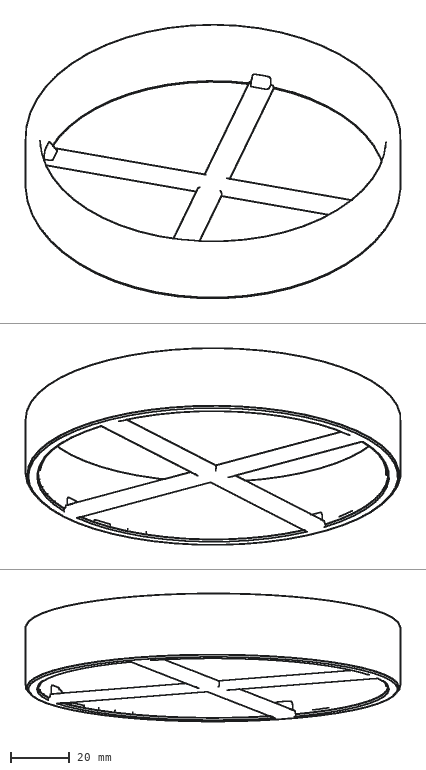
import cadquery as cq

outer_radius = 64.0
inner_radius = 59.0
height = 22.0
top_edge_round = 1.2
bottom_edge_round = 0.6
foot_height = 0.8
foot_inset = 0.6
foot_taper = 0.4
foot_taper_height = 0.6

bar_width = 8.7
bar_height = 2.0
bar_edge_round = 0.8

wedge_width = 6.7
wedge_run = 3.0
wedge_rise = 3.3
wedge_edge_round = 0.9
wall_overlap = 1.9


def make_ring():
    """Wall with rounded edges, standing on a narrower foot with tapered sides."""
    wall = (
        cq.Workplane("XY")
        .workplane(offset=foot_height)
        .circle(outer_radius)
        .circle(inner_radius)
        .extrude(height - foot_height)
        .faces(">Z")
        .edges()
        .fillet(top_edge_round)
        .faces("<Z")
        .edges()
        .fillet(bottom_edge_round)
    )
    foot = (
        cq.Workplane("XY")
        .circle(outer_radius - foot_inset)
        .circle(inner_radius + foot_inset)
        .extrude(foot_height)
        .faces("<Z")
        .edges()
        .chamfer(foot_taper_height, foot_taper)
    )
    return wall.union(foot)


def make_cross():
    """Two crossing bars with rounded long edges, ending inside the wall."""
    length = 2 * (inner_radius + wall_overlap)
    bar = (
        cq.Workplane("XY")
        .box(length, bar_width, bar_height, centered=(True, True, False))
        .edges("|X")
        .fillet(bar_edge_round)
    )
    return bar.union(bar.rotate((0, 0, 0), (0, 0, 1), 90))


def make_wedge():
    """Sloped block at the +X bar end, with the side edges of its slope rounded."""
    toe = inner_radius - wedge_run
    heel = inner_radius + wall_overlap
    slope = wedge_rise / wedge_run
    return (
        cq.Workplane("XZ")
        .moveTo(toe, bar_height)
        .lineTo(heel, bar_height)
        .lineTo(heel, bar_height + slope * (heel - toe))
        .close()
        .extrude(wedge_width / 2, both=True)
        .faces("not (|X or |Y or |Z)")
        .edges("not |Y")
        .fillet(wedge_edge_round)
    )


result = make_ring().union(make_cross())
for quarter in range(4):
    result = result.union(make_wedge().rotate((0, 0, 0), (0, 0, 1), 90 * quarter))